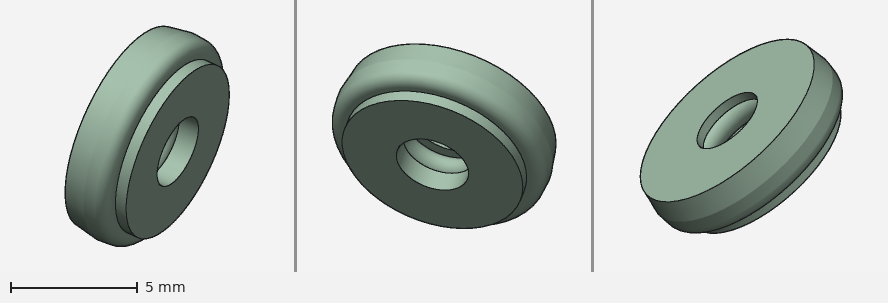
import cadquery as cq

outer_radius = 4.5
front_radius = 4.33
rear_rim_radius = 4.42
rear_rounding_radius = 0.495
hub_radius = 7.5 / 2
bore_radius = 3.0 / 2
groove_radius = 5.0 / 2

rim_rear_x = 2.0
crest_x = rim_rear_x / 2
overall_length = 2.5
groove_width = 1.2
groove_front_x = crest_x - groove_width / 2

ring_section_radius = (groove_radius - bore_radius) / 2
ring_center_radius = (groove_radius + bore_radius) / 2


def revolve_about_x(profile):
    """Turn a closed (x, radius) profile once around the X axis."""
    return profile.revolve(360, (0, 0, 0), (1, 0, 0))


def make_housing():
    """Crowned disc with a rear hub, a through bore and an internal ring groove."""
    disc = revolve_about_x(
        cq.Workplane("XY")
        .moveTo(0, bore_radius)
        .lineTo(0, front_radius)
        .lineTo(crest_x, outer_radius)
        .lineTo(rim_rear_x, rear_rim_radius)
        .lineTo(rim_rear_x, bore_radius)
        .close()
    )
    rear_corner = cq.selectors.RadiusNthSelector(-2)
    disc = disc.edges(rear_corner).fillet(rear_rounding_radius)
    hub = (
        cq.Workplane("YZ", origin=(rim_rear_x, 0, 0))
        .circle(hub_radius)
        .circle(bore_radius)
        .extrude(overall_length - rim_rear_x)
    )
    groove = (
        cq.Workplane("YZ", origin=(groove_front_x, 0, 0))
        .circle(groove_radius)
        .extrude(groove_width)
    )
    return disc.union(hub).cut(groove)


def make_sealing_ring():
    """Round-section ring seated against the groove floor, flush with the bore."""
    return revolve_about_x(
        cq.Workplane("XY")
        .moveTo(crest_x, ring_center_radius)
        .circle(ring_section_radius)
    )


housing = make_housing()
sealing_ring = make_sealing_ring()
result = cq.Compound.makeCompound([housing.val(), sealing_ring.val()])